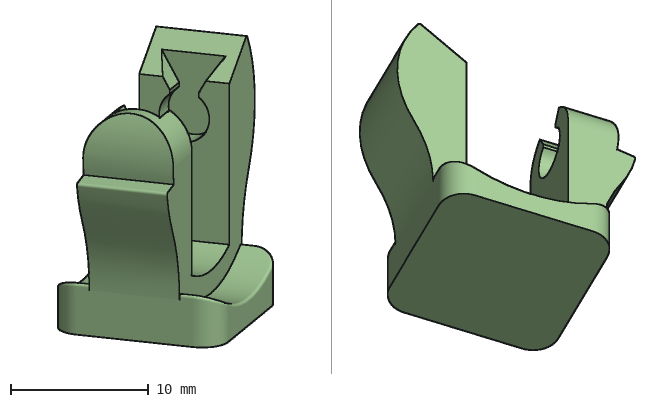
import cadquery as cq
import math

base_width = 13.0
base_depth = 13.31
base_corner_radius = 2.0
saddle_radius = 11.92
rim_fillet = 0.21

axis_height = 13.95
band_width = 6.97
gap_half = 4.0
gap_floor_radius = 10.2
outer_radius = 9.48
neck_radius = 11.32
tip_fillet = 0.2

rear_inner_height = 16.82
rear_slope_angle = math.radians(35)

lug_radius = 8.0
tooth_angle = math.radians(9.7)

pocket_depth = 2.0
pocket_radius = 1.94
throat_half = 1.1
throat_top = 15.85
mouth_angle = math.radians(30)

base_half = base_depth / 2
neck_y = base_half + neck_radius
neck_drop = math.sqrt((outer_radius + neck_radius) ** 2 - neck_y ** 2)
neck_z = axis_height - neck_drop
neck_tangent_angle = math.atan2(-neck_drop, neck_y)
part_top_limit = axis_height + outer_radius


def polar(radius, angle):
    """Point (y, z) at a radius and angle about the clip axis."""
    return (radius * math.cos(angle), axis_height + radius * math.sin(angle))


def front(point):
    """Mirror a (y, z) point to the front side."""
    return (-point[0], point[1])


def x_cylinder(radius, length):
    return (
        cq.Workplane("YZ").center(0, axis_height).circle(radius).extrude(length / 2, both=True)
    )


def make_base():
    block = (
        cq.Workplane("XY")
        .rect(base_width, base_depth)
        .extrude(axis_height / 2)
        .edges("|Z")
        .fillet(base_corner_radius)
        .cut(x_cylinder(saddle_radius, base_width))
    )
    saddle_bottom = (0, 0, axis_height - saddle_radius)
    saddle = block.faces(cq.selectors.NearestToPointSelector(saddle_bottom))
    return saddle.edges().fillet(rim_fillet)


def make_band():
    slope_normal_angle = rear_slope_angle + math.pi / 2
    line_offset = (
        gap_half * math.cos(slope_normal_angle)
        + (rear_inner_height - axis_height) * math.sin(slope_normal_angle)
    )
    rear_tip_angle = slope_normal_angle - math.acos(line_offset / outer_radius)

    neck_tangent = polar(outer_radius, neck_tangent_angle)
    neck_mid_angle = math.pi + neck_tangent_angle / 2
    neck_mid = (
        neck_y + neck_radius * math.cos(neck_mid_angle),
        neck_z + neck_radius * math.sin(neck_mid_angle),
    )
    tooth_mid_angle = (neck_tangent_angle - tooth_angle) / 2
    rear_tip = polar(outer_radius, rear_tip_angle)
    tooth_tip = front(polar(outer_radius, -tooth_angle))
    lug_top_angle = math.asin(band_width / 2 / lug_radius)
    lug_top = front(polar(lug_radius, lug_top_angle))
    gap_floor_edge_z = axis_height - math.sqrt(gap_floor_radius ** 2 - gap_half ** 2)

    band = (
        cq.Workplane("YZ")
        .moveTo(-base_half, 0)
        .lineTo(base_half, 0)
        .lineTo(base_half, neck_z)
        .threePointArc(neck_mid, neck_tangent)
        .threePointArc(polar(outer_radius, 0), rear_tip)
        .lineTo(gap_half, rear_inner_height)
        .lineTo(gap_half, gap_floor_edge_z)
        .threePointArc((0, axis_height - gap_floor_radius), (-gap_half, gap_floor_edge_z))
        .lineTo(-gap_half, lug_top[1])
        .lineTo(*lug_top)
        .threePointArc(front(polar(lug_radius, 0)), front(polar(lug_radius, -tooth_angle)))
        .lineTo(*tooth_tip)
        .threePointArc(front(polar(outer_radius, tooth_mid_angle)), front(neck_tangent))
        .threePointArc(front(neck_mid), (-base_half, neck_z))
        .close()
        .extrude(band_width / 2, both=True)
    )
    for tip in (rear_tip, tooth_tip):
        band = band.edges(cq.selectors.NearestToPointSelector((0, *tip))).fillet(tip_fillet)
    return band


def round_front_arm(body):
    half = band_width / 2
    corners = (
        cq.Workplane("XZ", origin=(0, -gap_half, 0))
        .moveTo(-half, axis_height)
        .threePointArc((0, axis_height + half), (half, axis_height))
        .lineTo(half, part_top_limit)
        .lineTo(-half, part_top_limit)
        .close()
        .extrude(outer_radius)
    )
    return body.cut(corners)


def make_pocket_cutter():
    length = 2 * (gap_half + pocket_depth)
    mouth_half = throat_half + (part_top_limit - throat_top) * math.tan(mouth_angle)
    plane = cq.Workplane("XZ")
    bore = plane.center(0, axis_height).circle(pocket_radius).extrude(length / 2, both=True)
    mouth = (
        plane.moveTo(-throat_half, axis_height)
        .lineTo(throat_half, axis_height)
        .lineTo(throat_half, throat_top)
        .lineTo(mouth_half, part_top_limit)
        .lineTo(-mouth_half, part_top_limit)
        .lineTo(-throat_half, throat_top)
        .close()
        .extrude(length / 2, both=True)
    )
    return bore.union(mouth)


clip = round_front_arm(make_band()).cut(make_pocket_cutter())
result = make_base().union(clip)